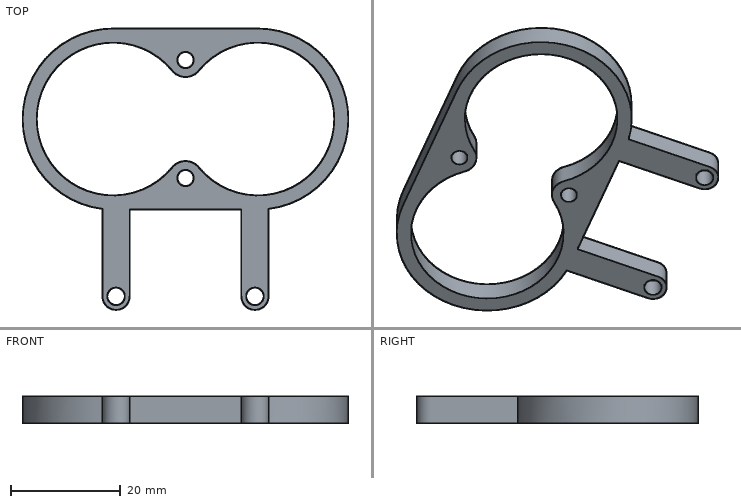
import cadquery as cq
import math

length = 59.7
thickness = 5.0

outer_radius = 16.6
opening_radius = 13.95
opening_x = length / 2 - outer_radius

lobe_y = 10.8
lobe_radius = math.hypot(opening_x, lobe_y) - opening_radius
lobe_hole_diameter = 2.9

arm_x = 12.7
arm_width = 5.0
arm_hole_y = -32.5
arm_hole_diameter = 3.15
arm_root_y = -(outer_radius + opening_radius) / 2


def make_opening():
    """Two-circle opening whose waist corners are rounded by the lobes."""
    share = opening_radius / (opening_radius + lobe_radius)
    tangent_x = opening_x * (1 - share)
    tangent_y = lobe_y * share
    tip_y = lobe_y - lobe_radius
    far_x = opening_x + opening_radius
    return (
        cq.Workplane("XY")
        .moveTo(-tangent_x, tangent_y)
        .threePointArc((0, tip_y), (tangent_x, tangent_y))
        .threePointArc((far_x, 0), (tangent_x, -tangent_y))
        .threePointArc((0, -tip_y), (-tangent_x, -tangent_y))
        .threePointArc((-far_x, 0), (-tangent_x, tangent_y))
        .close()
        .extrude(thickness)
    )


def make_arm(x):
    """Straight arm with a full-round end."""
    half_width = arm_width / 2
    return (
        cq.Workplane("XY")
        .moveTo(x - half_width, arm_root_y)
        .lineTo(x - half_width, arm_hole_y)
        .threePointArc((x, arm_hole_y - half_width), (x + half_width, arm_hole_y))
        .lineTo(x + half_width, arm_root_y)
        .close()
        .extrude(thickness)
    )


def make_holes(points, diameter):
    """Through-hole cutters at the given points."""
    return cq.Workplane("XY").pushPoints(points).circle(diameter / 2).extrude(thickness)


frame = cq.Workplane("XY").slot2D(length, 2 * outer_radius).extrude(thickness)
result = frame.cut(make_opening())

for side in (-1, 1):
    result = result.union(make_arm(side * arm_x))

result = result.cut(make_holes([(0, lobe_y), (0, -lobe_y)], lobe_hole_diameter))
result = result.cut(make_holes([(-arm_x, arm_hole_y), (arm_x, arm_hole_y)], arm_hole_diameter))